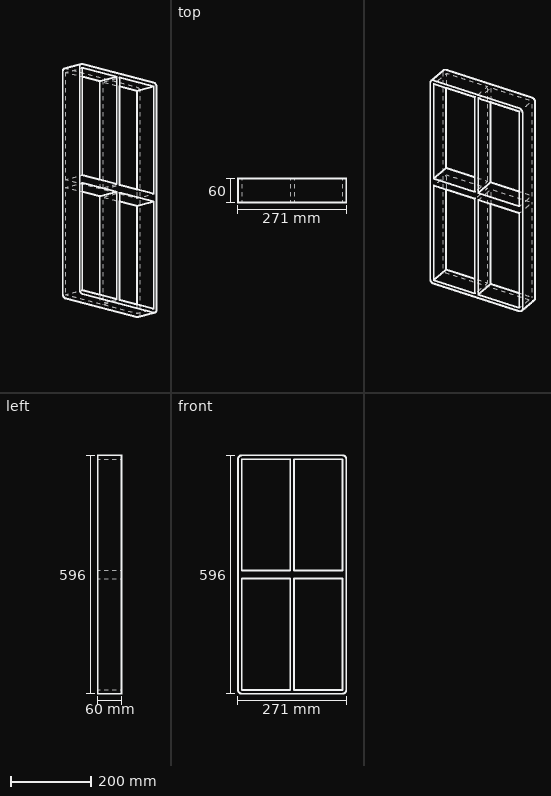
import cadquery as cq

width = 271.0
depth = 60.0
height = 596.0

bar = 10.0
cross_bar = 2 * bar
corner_radius = bar

window_width = (width - 3 * bar) / 2
window_height = (height - 2 * bar - cross_bar) / 2
window_pitch_x = window_width + bar
window_pitch_z = window_height + cross_bar

block = cq.Workplane("XY").box(width, depth, height).edges("|Y").fillet(corner_radius)

windows = (
    cq.Workplane("XZ")
    .rarray(window_pitch_x, window_pitch_z, 2, 2)
    .rect(window_width, window_height)
    .extrude(depth, both=True)
)

result = block.cut(windows)